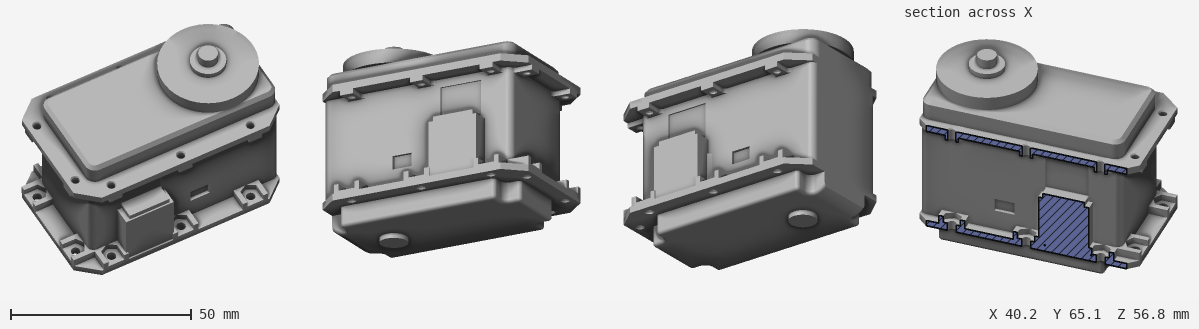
import cadquery as cq
import math


flange_overhang = 5.55
flange_width = 40.2
flange_length = 65.1
case_width = flange_width - 2 * flange_overhang
case_length = flange_length - flange_overhang
case_back = 14.4
case_front = case_back - case_length
case_mid_y = (case_back + case_front) / 2
case_side = case_width / 2
case_height = 46.15
top_corner_radius = 3.0
mid_corner_radius = 1.95
top_chamfer = 1.05

notch_size = 5.3
notch_inner_radius = 2.15
notch_outer_radius = 1.1
base_rim_radius = 1.05
base_back_radius = 6.0
base_back_run = 4.15

flange_chamfer_x = 5.3
flange_chamfer_y = 6.05
flange_front = case_front - flange_overhang
flange_mid_y = (case_back + flange_front) / 2
upper_flange_bottom = 38.0
upper_flange_top = 40.15
lower_flange_bottom = 6.05
lower_flange_top = 8.0

screw_pitch = 22.0
screw_edge = flange_overhang / 2
first_screw_y = case_back - 10.5
side_screw_count = 3
screw_hole_diameter = 2.2
nut_hole_diameter = 2.6
screw_rim_diameter = 2.85
screw_rim_chamfer = (screw_rim_diameter - screw_hole_diameter) / 2

lug_bottom = 36.6
lug_width = 4.05
lug_flare_radius = 1.0

pad_top = 10.6
pad_width = 7.95
nut_floor = 8.65
nut_across_flats = 5.0

horn_diameter = 28.2
horn_bottom = 46.6
horn_top = 50.7
hub_diameter = 10.1
hub_top = 52.4
shaft_diameter = 5.5
shaft_top = 55.4
pivot_diameter = 8.1
pivot_height = 1.4

tolerance = 0.05

plug_back = case_back - 36.05
plug_length = 15.05
plug_mid_y = plug_back - plug_length / 2
plug_reach = 19.65
plug_top = 24.1
plug_step_mid_y = case_back - 43.5
plug_step_length = 12.5
plug_step_reach = 19.2
plug_step_top = 25.6

ramp_length = 1.35
ramp_rise = ramp_length * math.tan(math.radians(30))
ramp_top = 19.5

recess_length = 12.75
recess_top = 35.7
recess_depth = 0.5
window_mid_y = case_back - 25.0
window_length = 5.9
window_bottom = 14.2
window_top = 18.1
window_depth = 1.0


def block(size_x, size_y, z_low, z_high, center=(0, 0)):
    """Upright box between two heights."""
    return (
        cq.Workplane("XY", origin=(*center, z_low))
        .rect(size_x, size_y)
        .extrude(z_high - z_low)
    )


def disc(diameter, z_low, z_high):
    """Round disc on the output shaft axis."""
    return cq.Workplane("XY").workplane(offset=z_low).circle(diameter / 2).extrude(z_high - z_low)


def screw_places():
    """Position and outward angle of every flange screw."""
    side_x = flange_width / 2 - screw_edge
    places = []
    for index in range(side_screw_count):
        y = first_screw_y - index * screw_pitch
        places.append((side_x, y, 0))
        places.append((-side_x, y, 180))
    for x in (-screw_pitch / 2, screw_pitch / 2):
        places.append((x, flange_front + screw_edge, -90))
    return places


def at_screws(shape):
    """Copy a shape, drawn at the origin with +X outward, to every flange screw."""
    copies = cq.Workplane("XY")
    for x, y, angle in screw_places():
        copies = copies.add(shape.rotate((0, 0, 0), (0, 0, 1), angle).translate((x, y, 0)))
    return copies.combine()


def inward_block(width, z_low, z_high):
    """Block around a screw, from the flange edge to behind the rounded corner of the case."""
    length = flange_overhang + mid_corner_radius
    return block(length, width, z_low, z_high, (screw_edge - length / 2, 0))


def case_slab(z_low, z_high, corner_radius):
    """Slice of the case with rounded upright edges."""
    slab = block(case_width, case_length, z_low, z_high, (0, case_mid_y))
    return slab.edges("|Z").fillet(corner_radius)


def flange_plate(z_low, z_high):
    """Flange plate with its four corners cut off."""
    half_x = flange_width / 2
    half_y = flange_length / 2
    near_x = half_x - flange_chamfer_x
    near_y = half_y - flange_chamfer_y
    return (
        cq.Workplane("XY", origin=(0, flange_mid_y, z_low))
        .polyline([
            (half_x, near_y), (near_x, half_y), (-near_x, half_y), (-half_x, near_y),
            (-half_x, -near_y), (-near_x, -half_y), (near_x, -half_y), (half_x, -near_y),
        ])
        .close()
        .extrude(z_high - z_low)
    )


def upper_flange():
    """Upper flange with flared lugs below it and screw holes chamfered at the top."""
    wall = case_slab(lug_bottom, upper_flange_bottom, mid_corner_radius)
    lugs = at_screws(inward_block(lug_width, lug_bottom, upper_flange_bottom))
    corner_distance = math.hypot(screw_edge, lug_width / 2)

    def is_lug_root(edge):
        center = edge.Center()
        on_wall = abs(center.x) < case_side + tolerance and center.y > case_front - tolerance
        distances = [math.hypot(center.x - x, center.y - y) for x, y, _ in screw_places()]
        return on_wall and min(distances) < corner_distance + tolerance

    lugs = wall.union(lugs)
    lugs = lugs.edges("|Z").filter(is_lug_root).fillet(lug_flare_radius)
    hole = disc(screw_hole_diameter, lug_bottom, upper_flange_top)
    rim = cq.Workplane(cq.Solid.makeCone(
        screw_hole_diameter / 2, screw_rim_diameter / 2, screw_rim_chamfer,
        pnt=cq.Vector(0, 0, upper_flange_top - screw_rim_chamfer),
    ))
    plate = flange_plate(upper_flange_bottom, upper_flange_top)
    return plate.union(lugs).cut(at_screws(hole.union(rim)))


def lower_flange():
    """Lower flange with a nut pad at every screw, its pocket open to the outside."""
    pad = inward_block(pad_width, lower_flange_top, pad_top)
    nut_corner = nut_across_flats / math.sqrt(3)
    half_flats = nut_across_flats / 2
    pocket = (
        cq.Workplane("XY")
        .workplane(offset=nut_floor)
        .polyline([
            (screw_edge, -half_flats), (screw_edge, half_flats),
            (-nut_corner / 2, half_flats), (-nut_corner, 0), (-nut_corner / 2, -half_flats),
        ])
        .close()
        .extrude(pad_top - nut_floor)
    )
    hole = disc(nut_hole_diameter, lower_flange_bottom, nut_floor)
    plate = flange_plate(lower_flange_bottom, lower_flange_top)
    return plate.union(at_screws(pad)).cut(at_screws(pocket.union(hole)))


def case_base():
    """Bottom of the case, below the lower flange."""
    height = lower_flange_bottom
    base = block(case_width, case_length, 0, height, (0, case_mid_y))

    for x in (-case_side, case_side):
        for y in (case_front, case_back):
            base = base.cut(block(2 * notch_size, 2 * notch_size, 0, height, (x, y)))

    def is_outer(edge):
        on_side = abs(edge.Center().x) > case_side - tolerance
        return on_side or edge.Center().y < case_front + tolerance

    def is_inner(edge):
        return not is_outer(edge) and edge.Center().y < case_back - tolerance

    upright = base.edges("|Z")
    base = upright.filter(is_inner).fillet(notch_inner_radius)
    base = base.edges("|Z").filter(is_outer).fillet(notch_outer_radius)

    run_start = case_back - base_back_run
    arc_angle = math.asin(base_back_run / base_back_radius)
    arc_rise = base_back_radius * (1 - math.cos(arc_angle))
    arc_mid_y = run_start + base_back_radius * math.sin(arc_angle / 2)
    arc_mid_z = base_back_radius * (1 - math.cos(arc_angle / 2))
    back_cut = (
        cq.Workplane("YZ")
        .moveTo(run_start, 0)
        .threePointArc((arc_mid_y, arc_mid_z), (case_back, arc_rise))
        .lineTo(case_back, 0)
        .close()
        .extrude(case_side, both=True)
    )
    base = base.cut(back_cut)

    def is_rim(edge):
        box = edge.BoundingBox()
        across_back = box.ylen < tolerance and box.ymin > run_start - tolerance
        return box.zmax < arc_rise + tolerance and not across_back

    return base.edges().filter(is_rim).fillet(base_rim_radius)


def case():
    """Case without its base: rounded middle and a chamfered cap."""
    middle = case_slab(lower_flange_bottom, upper_flange_top, mid_corner_radius)
    cap = case_slab(upper_flange_top, case_height, top_corner_radius)
    cap = cap.faces(">Z").chamfer(top_chamfer)
    return middle.union(cap)


def output_horn():
    """Horn with its hub and shaft above the case, and the pivot below it."""
    horn = disc(horn_diameter, horn_bottom, horn_top)
    hub = disc(hub_diameter, case_height, hub_top)
    shaft = disc(shaft_diameter, hub_top, shaft_top)
    pivot = disc(pivot_diameter, -pivot_height, 0)
    return hub.union(horn).union(shaft).union(pivot)


def connectors():
    """Connector, its raised step and its ramp on both sides of the case."""
    plugs = block(2 * plug_reach, plug_length, lower_flange_top, plug_top, (0, plug_mid_y))
    steps = block(2 * plug_step_reach, plug_step_length, plug_top, plug_step_top, (0, plug_step_mid_y))
    ramp_x = case_side + ramp_rise
    ramps = (
        cq.Workplane("XY")
        .workplane(offset=lower_flange_top)
        .polyline([
            (case_side, plug_back + ramp_length), (ramp_x, plug_back),
            (-ramp_x, plug_back), (-case_side, plug_back + ramp_length),
        ])
        .close()
        .extrude(ramp_top - lower_flange_top)
    )
    return plugs.union(steps).union(ramps)


def side_recesses():
    """Recess above each connector and a window, cut into both sides of the case."""
    cuts = cq.Workplane("XY")
    for side in (-case_side, case_side):
        recess = block(
            2 * recess_depth, recess_length, plug_step_top, recess_top, (side, plug_step_mid_y)
        )
        window = block(2 * window_depth, window_length, window_bottom, window_top, (side, window_mid_y))
        cuts = cuts.add(recess).add(window)
    return cuts.combine()


result = (
    case()
    .cut(side_recesses())
    .union(case_base())
    .union(upper_flange())
    .union(lower_flange())
    .union(connectors())
    .union(output_horn())
)